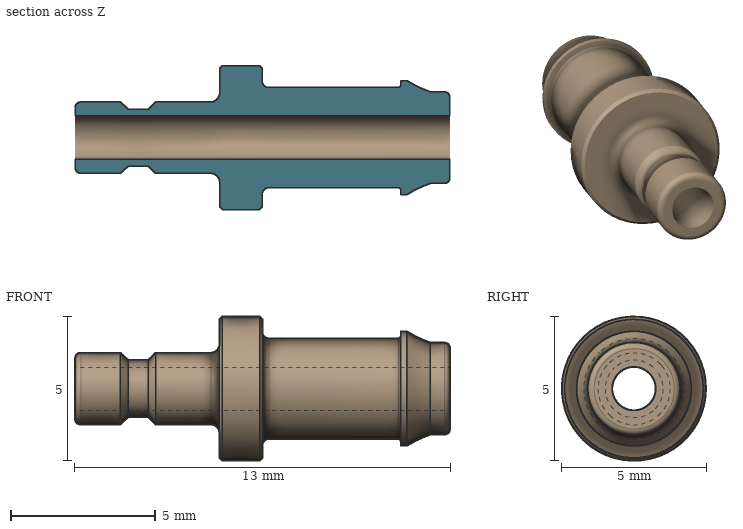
import cadquery as cq

total_length = 13.0
groove_start = 1.57
groove_floor_start = 1.85
groove_floor_end = 2.55
groove_end = 2.8
flange_start = 5.0
flange_end = 6.5
barb_start = 11.28
barb_land_end = 11.49
barb_rim_end = 11.52
nose_start = 12.31

bore_diameter = 1.5
plug_diameter = 2.5
groove_diameter = 2.0
flange_diameter = 5.0
stem_diameter = 3.5
barb_diameter = 3.98
barb_rim_diameter = 3.95
nose_diameter = 3.2

end_round = 0.21
flange_chamfer = 0.1
plug_root_fillet = 0.3
stem_root_fillet = 0.21
barb_root_fillet = 0.08
barb_ramp_sag = 0.03

plug_radius = plug_diameter / 2
groove_radius = groove_diameter / 2
flange_radius = flange_diameter / 2
stem_radius = stem_diameter / 2
barb_radius = barb_diameter / 2
barb_rim_radius = barb_rim_diameter / 2
nose_radius = nose_diameter / 2


def outer_profile():
    """Half section of the solid fitting; positive arc radii are convex, negative ones concave."""
    plug = (
        cq.Workplane("XY")
        .lineTo(0, plug_radius - end_round)
        .radiusArc((end_round, plug_radius), end_round)
        .lineTo(groove_start, plug_radius)
        .lineTo(groove_floor_start, groove_radius)
        .lineTo(groove_floor_end, groove_radius)
        .lineTo(groove_end, plug_radius)
        .lineTo(flange_start - plug_root_fillet, plug_radius)
        .radiusArc((flange_start, plug_radius + plug_root_fillet), -plug_root_fillet)
    )
    flange = (
        plug.lineTo(flange_start, flange_radius - flange_chamfer)
        .lineTo(flange_start + flange_chamfer, flange_radius)
        .lineTo(flange_end - flange_chamfer, flange_radius)
        .lineTo(flange_end, flange_radius - flange_chamfer)
    )
    stem = (
        flange.lineTo(flange_end, stem_radius + stem_root_fillet)
        .radiusArc((flange_end + stem_root_fillet, stem_radius), -stem_root_fillet)
        .lineTo(barb_start - barb_root_fillet, stem_radius)
        .radiusArc((barb_start, stem_radius + barb_root_fillet), -barb_root_fillet)
    )
    barb = (
        stem.lineTo(barb_start, barb_radius)
        .lineTo(barb_land_end, barb_radius)
        .lineTo(barb_rim_end, barb_rim_radius)
        .sagittaArc((nose_start, nose_radius), -barb_ramp_sag)
    )
    nose = (
        barb.lineTo(total_length - end_round, nose_radius)
        .radiusArc((total_length, nose_radius - end_round), end_round)
        .lineTo(total_length, 0)
    )
    return nose.close()


body = outer_profile().revolve(360, (0, 0, 0), (1, 0, 0))

bore = cq.Workplane("YZ").circle(bore_diameter / 2).extrude(total_length)

result = body.cut(bore)